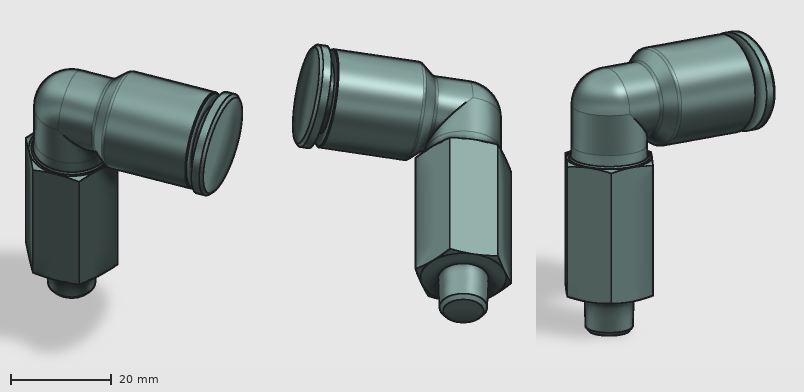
import cadquery as cq
import math


overall_height = 56.5

elbow_radius = 7.5
socket_axis_z = 46.6

hex_sides = 6
hex_flats = 17.0
hex_corners = hex_flats / math.cos(math.pi / hex_sides)
hex_bottom_z = 8.0
hex_top_z = 35.75
hex_corner_drop = 0.45

stem_top_radius = 5.0
stem_low_radius = 4.75
stem_end_radius = 4.0
stem_chamfer_height = 0.9

collar_top_z = 38.35
collar_low_z = 36.1
collar_low_radius = 7.7
collar_foot_radius = 8.0

socket_radius = overall_height - socket_axis_z
cone_start_x = 7.45
cone_end_x = 10.35
cone_blend_radius = 1.0
socket_end_x = 28.25
socket_end_chamfer = 0.2

neck_radius = 7.1
flange_start_x = 29.9
flange_end_x = 32.2
flange_half_width = 11.25
flange_half_height = 9.85
flange_chamfer = 0.6


def make_stem():
    """Tapered stem with a conical tip, closed by the hexagon above it."""
    profile = [
        (0, 0),
        (stem_end_radius, 0),
        (stem_low_radius, stem_chamfer_height),
        (stem_top_radius, hex_bottom_z),
        (0, hex_bottom_z),
    ]
    return cq.Workplane("XZ").polyline(profile).close().revolve(360, (0, 0), (0, 1))


def make_hexagon():
    """Hexagonal bar whose corners are trimmed by a cone at both ends."""
    bar = (
        cq.Workplane("XY")
        .workplane(offset=hex_bottom_z)
        .polygon(hex_sides, hex_corners)
        .extrude(hex_top_z - hex_bottom_z)
    )
    end_radius = hex_flats / 2
    corner_radius = hex_corners / 2
    profile = [
        (0, hex_bottom_z),
        (end_radius, hex_bottom_z),
        (corner_radius, hex_bottom_z + hex_corner_drop),
        (corner_radius, hex_top_z - hex_corner_drop),
        (end_radius, hex_top_z),
        (0, hex_top_z),
    ]
    envelope = cq.Workplane("XZ").polyline(profile).close().revolve(360, (0, 0), (0, 1))
    return bar.intersect(envelope)


def make_vertical_leg():
    """Collar and straight leg, rising from the hexagon to the socket axis."""
    profile = [
        (0, hex_top_z),
        (collar_foot_radius, hex_top_z),
        (collar_low_radius, collar_low_z),
        (elbow_radius, collar_top_z),
        (elbow_radius, socket_axis_z),
        (0, socket_axis_z),
    ]
    return cq.Workplane("XZ").polyline(profile).close().revolve(360, (0, 0), (0, 1))


def make_elbow_cap():
    """Ball that rounds the outside of the bend."""
    return cq.Workplane("XY").sphere(elbow_radius).translate((0, 0, socket_axis_z))


def make_socket():
    """Horizontal leg, blended cone and socket barrel, revolved about the socket axis."""
    profile = [
        (0, 0),
        (0, elbow_radius),
        (cone_start_x, elbow_radius),
        (cone_end_x, socket_radius),
        (socket_end_x - socket_end_chamfer, socket_radius),
        (socket_end_x, socket_radius - socket_end_chamfer),
        (socket_end_x, 0),
    ]
    body = cq.Workplane("XZ").polyline(profile).close().revolve(360, (0, 0), (1, 0))

    def rim(x, radius):
        """Selector for the circular edge of the given radius at distance x."""
        margin = 0.05
        return cq.selectors.BoxSelector(
            (x - margin, -radius - margin, -radius - margin),
            (x + margin, radius + margin, radius + margin),
            boundingbox=True,
        )

    cone_rims = rim(cone_start_x, elbow_radius) + rim(cone_end_x, socket_radius)
    return body.edges(cone_rims).fillet(cone_blend_radius).translate((0, 0, socket_axis_z))


def make_release_button():
    """Neck leaving the socket and the elliptical flange at its end."""
    neck = (
        cq.Workplane("YZ")
        .workplane(offset=socket_end_x)
        .circle(neck_radius)
        .extrude(flange_start_x - socket_end_x)
    )
    flange = (
        cq.Workplane("YZ")
        .workplane(offset=flange_start_x)
        .ellipse(flange_half_width, flange_half_height)
        .extrude(flange_end_x - flange_start_x)
        .faces(">X")
        .chamfer(flange_chamfer)
    )
    return neck.union(flange).translate((0, 0, socket_axis_z))


result = (
    make_stem()
    .union(make_hexagon())
    .union(make_vertical_leg())
    .union(make_elbow_cap())
    .union(make_socket())
    .union(make_release_button())
)